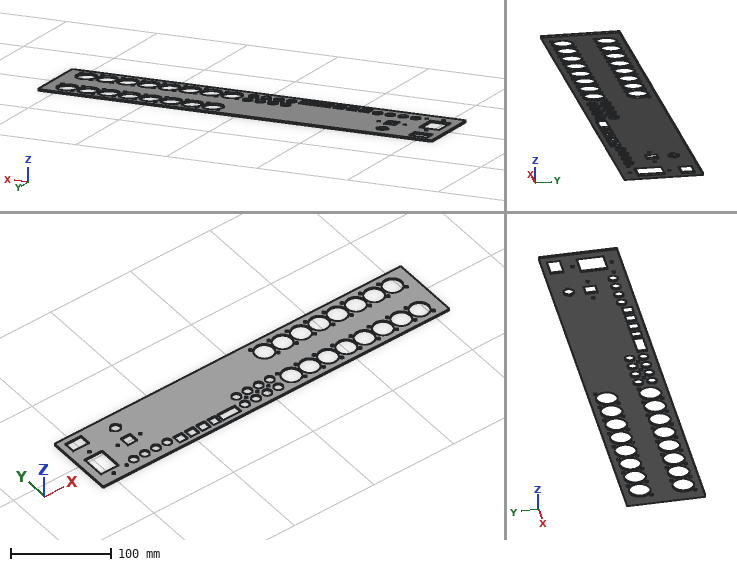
import cadquery as cq

PANEL_LENGTH = 435.0
PANEL_HEIGHT = 80.0
PANEL_THICKNESS = 2.0
CORNER_RADIUS = 1.0

SCREW_DIAMETER = 3.0
LARGE_SCREW_DIAMETER = 3.2

XLR_DIAMETER = 22.0
XLR_COUNT = 8
XLR_PITCH = 23.0
XLR_FIRST_X = 250.0
XLR_ROWS_Y = (17.8, 62.2)
XLR_SCREW_OFFSET = 9.9

SWITCH_SIZE = (20.0, 13.2)
SWITCH_CENTER = (18.3, 66.7)
INLET_SIZE = (22.2, 27.2)
INLET_CENTER = (20.5, 29.5)
INLET_SCREW_SPACING = 40.0

FUSE_DIAMETER = 11.0
FUSE_KEY_SPAN = 13.0
FUSE_KEY_WIDTH = 1.8
SOCKET_SIDE = 12.0
SOCKET_X = 63.0
SOCKET_Y = 40.0
FUSE_X = 63.0
FUSE_Y = 62.2
SOCKET_SCREW_SPACING = 28.6

JACK_PITCH = 14.0
JACK_DIAMETER = 10.0
JACK_COUNT = 4
JACK_FIRST_X = 49.0
JACK_Y = 14.0
GROUND_SCREW = (38.0, 11.2)

PORT_BOTTOM = 5.7
PORT_HEIGHT = 10.2
PORTS = (
    (100.3, 10.5),
    (114.6, 10.5),
    (128.9, 10.5),
    (143.1, 9.4),
    (155.2, 22.3),
)

PHONO_DIAMETER = 10.2
PHONO_PITCH = 14.0
PHONO_COLUMNS = 4
PHONO_ROWS = 2
PHONO_FIRST_X = 187.0
PHONO_LOWER_Y = 11.8


def cut_holes(plate, centers, diameter):
    return plate.cut(
        cq.Workplane("XY").pushPoints(centers).circle(diameter / 2).extrude(PANEL_THICKNESS)
    )


def cut_window(plate, center, size):
    return plate.cut(cq.Workplane("XY").center(*center).rect(*size).extrude(PANEL_THICKNESS))


def make_plate():
    plate = cq.Workplane("XY").box(PANEL_LENGTH, PANEL_HEIGHT, PANEL_THICKNESS, centered=False)
    return plate.edges("|Z").fillet(CORNER_RADIUS)


def cut_xlr_rows(plate):
    centers = [(XLR_FIRST_X + i * XLR_PITCH, y) for y in XLR_ROWS_Y for i in range(XLR_COUNT)]
    upper_left = [(x - XLR_SCREW_OFFSET, y + XLR_SCREW_OFFSET) for x, y in centers]
    lower_right = [(x + XLR_SCREW_OFFSET, y - XLR_SCREW_OFFSET) for x, y in centers]
    plate = cut_holes(plate, centers, XLR_DIAMETER)
    return cut_holes(plate, upper_left + lower_right, LARGE_SCREW_DIAMETER)


def cut_mains(plate):
    plate = cut_window(plate, SWITCH_CENTER, SWITCH_SIZE)
    plate = cut_window(plate, INLET_CENTER, INLET_SIZE)
    inlet_x, inlet_y = INLET_CENTER
    screws = [(inlet_x, inlet_y + side * INLET_SCREW_SPACING / 2) for side in (-1, 1)]
    return cut_holes(plate, screws, LARGE_SCREW_DIAMETER)


def cut_fuse_and_socket(plate):
    plate = cut_holes(plate, [(FUSE_X, FUSE_Y)], FUSE_DIAMETER)
    plate = cut_window(plate, (FUSE_X, FUSE_Y), (FUSE_KEY_SPAN, FUSE_KEY_WIDTH))
    plate = cut_window(plate, (SOCKET_X, SOCKET_Y), (SOCKET_SIDE, SOCKET_SIDE))
    screws = [(SOCKET_X + side * SOCKET_SCREW_SPACING / 2, SOCKET_Y) for side in (-1, 1)]
    return cut_holes(plate, screws, SCREW_DIAMETER)


def cut_jacks(plate):
    centers = [(JACK_FIRST_X + i * JACK_PITCH, JACK_Y) for i in range(JACK_COUNT)]
    plate = cut_holes(plate, centers, JACK_DIAMETER)
    return cut_holes(plate, [GROUND_SCREW], SCREW_DIAMETER)


def cut_ports(plate):
    for left, width in PORTS:
        center = (left + width / 2, PORT_BOTTOM + PORT_HEIGHT / 2)
        plate = cut_window(plate, center, (width, PORT_HEIGHT))
    return plate


def cut_phono_block(plate):
    columns = [PHONO_FIRST_X + i * PHONO_PITCH for i in range(PHONO_COLUMNS)]
    rows = [PHONO_LOWER_Y + j * PHONO_PITCH for j in range(PHONO_ROWS)]
    sockets = [(x, y) for x in columns for y in rows]
    screw_y = PHONO_LOWER_Y + PHONO_PITCH / 2
    screws = [(x + PHONO_PITCH / 2, screw_y) for x in columns[:-1]]
    plate = cut_holes(plate, sockets, PHONO_DIAMETER)
    return cut_holes(plate, screws, SCREW_DIAMETER)


result = make_plate()
result = cut_xlr_rows(result)
result = cut_mains(result)
result = cut_fuse_and_socket(result)
result = cut_jacks(result)
result = cut_ports(result)
result = cut_phono_block(result)